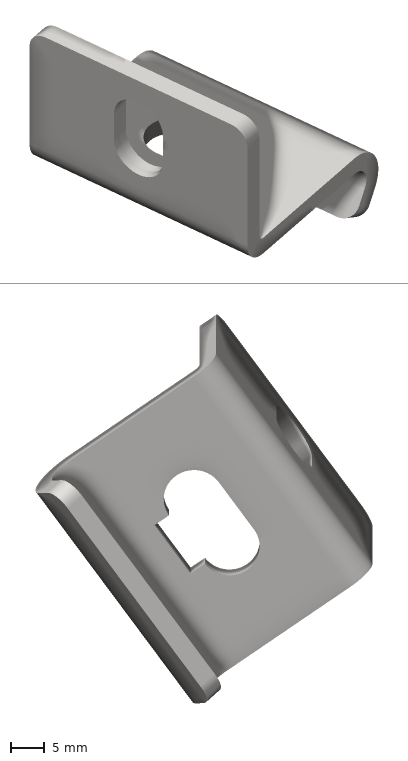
import cadquery as cq
import math

width = 40.0
thickness = 3.0
depth = 32.8
flange_height = 26.0
corner_radius = 3.0

bend_inner = 1.0
bend_outer = bend_inner + thickness

hook_inner = 3.0
hook_outer = hook_inner + thickness
hook_drop = 11.0
lip_tilt = math.radians(30.0)

flange_slot_width = 9.0
flange_slot_length = 14.0
flange_slot_z = 15.0

base_slot_width = 9.0
base_slot_length = 18.0
base_slot_y = 15.0
notch_width = 9.2
notch_rear_y = 22.1

hook_center_y = depth - hook_outer
hook_center_z = -hook_inner
lip_length = (hook_drop - hook_inner - hook_outer * math.sin(lip_tilt)) / math.cos(lip_tilt)


def hook_point(radius, angle):
    """(Y, Z) at a radius from the hook center, angle measured up from +Y."""
    return (
        hook_center_y + radius * math.cos(angle),
        hook_center_z + radius * math.sin(angle),
    )


def along_lip(point, distance):
    """(Y, Z) reached by moving down the lip from a point."""
    return (
        point[0] - distance * math.sin(lip_tilt),
        point[1] - distance * math.cos(lip_tilt),
    )


def bent_sheet():
    """The bent side profile, extruded across the full width."""
    hook_middle = (math.pi / 2 - lip_tilt) / 2
    outer_end = hook_point(hook_outer, -lip_tilt)
    inner_end = hook_point(hook_inner, -lip_tilt)
    bend_diagonal = bend_outer - bend_outer * math.sqrt(0.5)
    inner_diagonal = bend_outer - bend_inner * math.sqrt(0.5)
    return (
        cq.Workplane("YZ")
        .moveTo(0, flange_height)
        .lineTo(0, bend_outer)
        .threePointArc((bend_diagonal, bend_diagonal), (bend_outer, 0))
        .lineTo(hook_center_y, 0)
        .threePointArc(hook_point(hook_inner, hook_middle), inner_end)
        .lineTo(*along_lip(inner_end, lip_length))
        .lineTo(*along_lip(outer_end, lip_length))
        .lineTo(*outer_end)
        .threePointArc(hook_point(hook_outer, hook_middle), (hook_center_y, thickness))
        .lineTo(bend_outer, thickness)
        .threePointArc((inner_diagonal, inner_diagonal), (thickness, bend_outer))
        .lineTo(thickness, flange_height)
        .close()
        .extrude(width / 2, both=True)
    )


def round_corners(body):
    """Round the two top corners of the flange and the two corners of the lip."""
    lip_normal = cq.Vector(0, math.cos(lip_tilt), -math.sin(lip_tilt))
    body = body.edges("|Y").edges(">Z").fillet(corner_radius)
    lip_corners = cq.selectors.ParallelDirSelector(lip_normal)
    return body.edges(lip_corners).edges("<Z").fillet(corner_radius)


def flange_slot():
    """Cutter for the upright slot through the flange."""
    return (
        cq.Workplane("XZ")
        .center(0, flange_slot_z)
        .slot2D(flange_slot_length, flange_slot_width, 90)
        .extrude(-thickness)
    )


def base_slot():
    """Cutter for the crosswise slot through the base and its rear notch."""
    notch_length = notch_rear_y - base_slot_y
    slot = (
        cq.Workplane("XY")
        .center(0, base_slot_y)
        .slot2D(base_slot_length, base_slot_width)
        .extrude(thickness)
    )
    notch = (
        cq.Workplane("XY")
        .center(0, base_slot_y + notch_length / 2)
        .rect(notch_width, notch_length)
        .extrude(thickness)
    )
    return slot.union(notch)


result = round_corners(bent_sheet()).cut(flange_slot()).cut(base_slot())